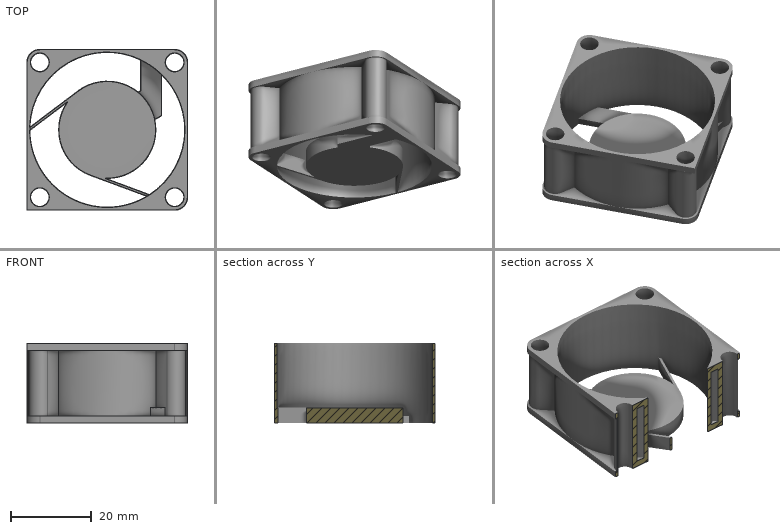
import cadquery as cq
import math

frame_side = 39.88
frame_height = 19.81
flange_thickness = 1.78
bore_diameter = 38.48
corner_radius = 3.2

post_diameter = 5.44
hole_diameter = 4.57

hub_diameter = 24.13
hub_height = 3.9
strut_thickness = 0.6
struts = [(217.0, 15.8), (339.7, 20.0)]

channel_left = 8.3
channel_right = 13.5
channel_left_start = 9.7
channel_right_start = 3.5
channel_end_angle = 30.0
channel_hub_overlap = 2.5

half_side = frame_side / 2
barrel_radius = half_side
hub_radius = hub_diameter / 2
hole_offset = half_side - corner_radius
hole_spacing = 2 * hole_offset
hole_diagonal = hole_spacing * math.sqrt(2)


def cylinder(diameter, height):
    """Upright cylinder on the Z axis, standing on z = 0."""
    return cq.Workplane("XY").circle(diameter / 2).extrude(height)


def corner_cylinders(diameter):
    """Four full-height cylinders on the screw hole axes."""
    corners = cq.Workplane("XY").rect(hole_spacing, hole_spacing, forConstruction=True).vertices()
    return corners.circle(diameter / 2).extrude(frame_height)


def flange(rounded_edges):
    """Square plate standing on z = 0 with the selected edges rounded."""
    plate = cq.Workplane("XY").rect(frame_side, frame_side).extrude(flange_thickness)
    return plate.edges(rounded_edges).fillet(corner_radius)


def housing():
    """Flanges, barrel, corner posts and webs, with the round bore cut through."""
    bottom_flange = flange("|Z")
    top_flange = flange("|Z and (>X or >Y)").translate((0, 0, frame_height - flange_thickness))
    body = cylinder(2 * barrel_radius, frame_height).union(bottom_flange).union(top_flange)
    body = body.union(corner_cylinders(post_diameter))

    for angle in (45, 135):
        web = cq.Workplane("XY").rect(hole_diagonal, post_diameter).extrude(frame_height)
        body = body.union(web.rotate((0, 0, 0), (0, 0, 1), angle))

    return body.cut(cylinder(bore_diameter, frame_height))


def strut(angle, length):
    """Thin rib whose outer face is tangent to the hub, running outward at the given angle."""
    rib = (
        cq.Workplane("XY")
        .center(0, -hub_radius)
        .rect(length, strut_thickness, centered=False)
        .extrude(hub_height)
    )
    return rib.rotate((0, 0, 0), (0, 0, 1), angle)


def wire_channel():
    """Flat strip along Y from the hub to the barrel, with slanted ends that sink into the hub."""
    inward_x = channel_hub_overlap * math.cos(math.radians(channel_end_angle))
    inward_y = channel_hub_overlap * math.sin(math.radians(channel_end_angle))
    outline = [
        (channel_left - inward_x, channel_left_start - inward_y),
        (channel_left, channel_left_start),
        (channel_left, math.sqrt(barrel_radius**2 - channel_left**2)),
        (channel_right, math.sqrt(barrel_radius**2 - channel_right**2)),
        (channel_right, channel_right_start),
        (channel_right - inward_x, channel_right_start - inward_y),
    ]
    return cq.Workplane("XY").polyline(outline).close().extrude(flange_thickness)


fan_frame = housing().union(cylinder(hub_diameter, hub_height)).union(wire_channel())
for strut_angle, strut_length in struts:
    fan_frame = fan_frame.union(strut(strut_angle, strut_length))

result = fan_frame.cut(corner_cylinders(hole_diameter))